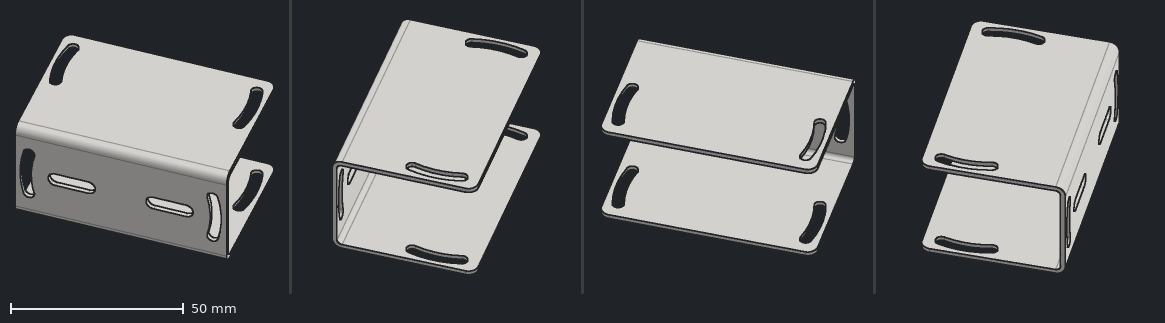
import cadquery as cq
import math

length = 65.0
depth = 43.5
height = 33.5

thickness = 1.5
inner_bend_radius = 1.5
outer_bend_radius = inner_bend_radius + thickness
flange_corner_radius = 3.0

arc_slot_radius = 29.2
arc_slot_width = 3.4
arc_slot_half_angle = 15.0
flange_slot_to_edge = 13.0

straight_slot_width = 4.4
straight_slot_length = 14.4
straight_slot_spacing = 30.0


def channel():
    """Bent U channel with the outer face of its web at Y = 0, centred on X and Z."""
    outer = (
        cq.Workplane("XY")
        .box(length, depth, height, centered=(True, False, True))
        .edges("|X and <Y")
        .fillet(outer_bend_radius)
    )
    inner = (
        cq.Workplane("XY")
        .box(length, depth, height - 2 * thickness, centered=(True, False, True))
        .edges("|X and <Y")
        .fillet(inner_bend_radius)
        .translate((0, thickness, 0))
    )
    return outer.cut(inner).edges("|Z and >Y").fillet(flange_corner_radius)


def arc_slot_pair(plane, cut_length):
    """Two facing curved slots with round ends, extruded both ways from the plane."""
    inner_radius = arc_slot_radius - arc_slot_width / 2
    outer_radius = arc_slot_radius + arc_slot_width / 2
    half_angle = math.radians(arc_slot_half_angle)

    def on_circle(radius, angle):
        return (radius * math.cos(angle), radius * math.sin(angle))

    centre_x, centre_y = on_circle(arc_slot_radius, half_angle)
    bulge_x = -arc_slot_width / 2 * math.sin(half_angle)
    bulge_y = arc_slot_width / 2 * math.cos(half_angle)
    upper_tip = (centre_x + bulge_x, centre_y + bulge_y)
    lower_tip = (upper_tip[0], -upper_tip[1])

    slot = (
        cq.Workplane(plane)
        .moveTo(*on_circle(outer_radius, -half_angle))
        .threePointArc((outer_radius, 0), on_circle(outer_radius, half_angle))
        .threePointArc(upper_tip, on_circle(inner_radius, half_angle))
        .threePointArc((inner_radius, 0), on_circle(inner_radius, -half_angle))
        .threePointArc(lower_tip, on_circle(outer_radius, -half_angle))
        .close()
        .extrude(cut_length, both=True)
    )
    return slot.union(slot.mirror("YZ"))


def straight_slot_pair():
    """Two round-ended slots along X that pass through the web."""
    return (
        cq.Workplane("XZ")
        .pushPoints([(-straight_slot_spacing / 2, 0), (straight_slot_spacing / 2, 0)])
        .slot2D(straight_slot_length, straight_slot_width)
        .extrude(thickness, both=True)
    )


web_arc_slots = arc_slot_pair("XZ", thickness)
flange_arc_slots = arc_slot_pair("XY", height).translate((0, depth - flange_slot_to_edge, 0))

result = channel().cut(web_arc_slots).cut(flange_arc_slots).cut(straight_slot_pair())